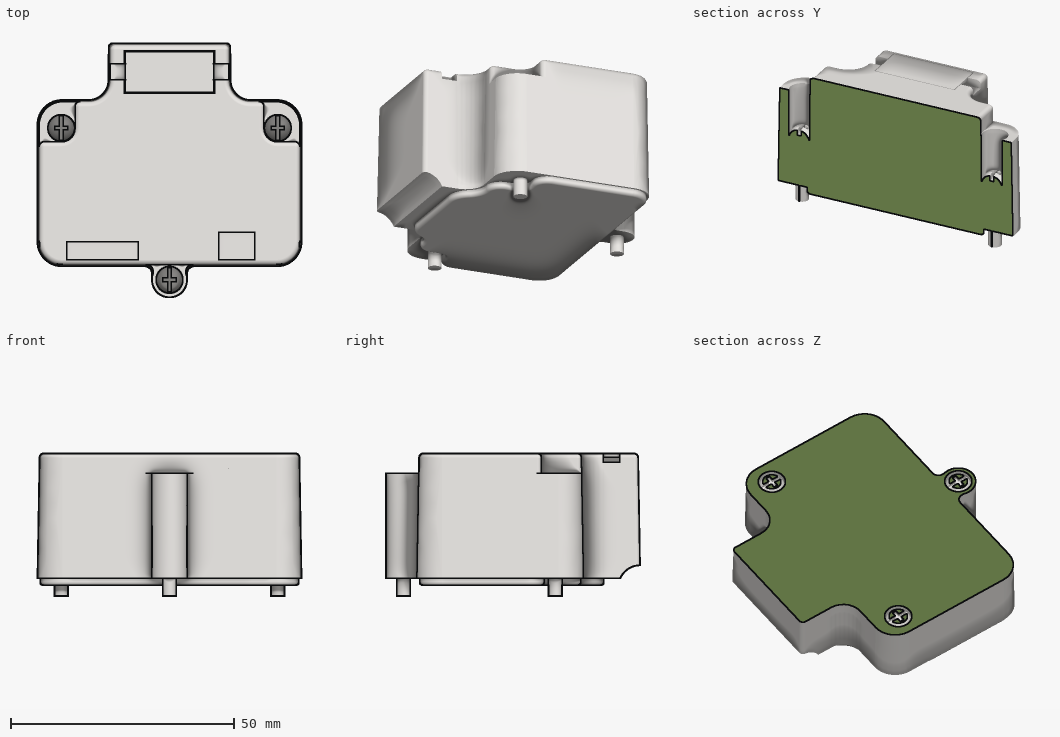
import cadquery as cq
import math

body_width = 59.2
body_depth = 37.3
body_height = 28.0
corner_radius = 5.6
wall_draft = 1.0
edge_round = 1.0

neck_half_width = 13.7
neck_rear_y = 31.4
neck_root_radius = 4.4
cable_cut_radius = 4.8
cable_cut_y = 31.3
cable_cut_top = 2.9

screw_x = 24.25
rear_screw_y = 12.35
front_screw_y = -21.65
screw_seat_z = 12.0
head_radius = 3.0
head_height = 2.4
shank_radius = 1.55
shank_tip_z = -4.0
cross_slot_width = 0.85
long_slot_length = 5.4
short_slot_length = 3.0
cross_slot_depth = 1.7

ledge_z = 23.6
notch_radius = 3.1
boss_radius = 3.95
boss_blend_radius = 1.55
boss_flank_draft = 0.7

lip_height = 1.55
lip_inset = 0.6
lip_round = 0.75
lip_notch_radius = 2.5
lip_corner_radius = 3.4
lip_neck_y = 23.25
lip_neck_turn = 30.0

window_half_width = 9.9
window_front_y = 20.3
window_rear_y = 29.45
window_thickness = 0.85
window_gap = 0.2
side_slot_front_y = 23.1
side_slot_rear_y = 26.75
side_slot_depth = 2.0
undercut_floor_length = 1.0
label_depth = 0.1
label_recesses = [(-23.05, -7.0, -13.1), (11.0, 19.1, -10.95)]

edge_reach = 0.3
steepness = 4

half_width = body_width / 2
half_depth = body_depth / 2
screw_points = [(-screw_x, rear_screw_y), (screw_x, rear_screw_y), (0, front_screw_y)]


def box(x0, x1, y0, y1, z0, z1):
    """Axis-aligned block between two opposite corners."""
    return cq.Workplane("XY").box(x1 - x0, y1 - y0, z1 - z0, centered=False).translate((x0, y0, z0))


def on_circle(center, radius, angle):
    """Point on a circle, angle in degrees."""
    turn = math.radians(angle)
    return (center[0] + radius * math.cos(turn), center[1] + radius * math.sin(turn))


def wall_inset(z):
    """How far the drafted walls have moved inwards at height z."""
    return z * math.tan(math.radians(wall_draft))


def near_vertical_edges(solid, points):
    """Steep edges whose middle lies within edge_reach of one of the given XY points."""
    edges = []
    for edge in solid.edges().vals():
        middle = edge.Center()
        run = edge.BoundingBox()
        steep = run.zlen > steepness * max(run.xlen, run.ylen)
        close = any(math.hypot(middle.x - x, middle.y - y) < edge_reach for x, y in points)
        if steep and close:
            edges.append(edge)
    return solid.newObject(edges)


def make_shell_block():
    """Tapered wide body and neck, one outline with rounded corners and neck roots."""
    corner_x = half_width - corner_radius
    corner_y = half_depth - corner_radius
    root_center = (neck_half_width + neck_root_radius, half_depth + neck_root_radius)
    root_x, root_y = root_center
    block = (
        cq.Workplane("XY")
        .moveTo(-corner_x, -half_depth)
        .lineTo(corner_x, -half_depth)
        .threePointArc(on_circle((corner_x, -corner_y), corner_radius, -45), (half_width, -corner_y))
        .lineTo(half_width, corner_y)
        .threePointArc(on_circle((corner_x, corner_y), corner_radius, 45), (corner_x, half_depth))
        .lineTo(root_x, half_depth)
        .threePointArc(on_circle(root_center, neck_root_radius, 225), (neck_half_width, root_y))
        .lineTo(neck_half_width, neck_rear_y)
        .lineTo(-neck_half_width, neck_rear_y)
        .lineTo(-neck_half_width, root_y)
        .threePointArc(on_circle((-root_x, root_y), neck_root_radius, -45), (-root_x, half_depth))
        .lineTo(-corner_x, half_depth)
        .threePointArc(on_circle((-corner_x, corner_y), corner_radius, 135), (-half_width, corner_y))
        .lineTo(-half_width, -corner_y)
        .threePointArc(on_circle((-corner_x, -corner_y), corner_radius, 225), (-corner_x, -half_depth))
        .close()
        .extrude(body_height, taper=wall_draft)
    )
    inset = wall_inset(body_height / 2)
    neck_corners = [(side * (neck_half_width - inset), neck_rear_y - inset) for side in (-1, 1)]
    return near_vertical_edges(block, neck_corners).fillet(edge_round)


def corner_clearance(side, radius, z0, z1):
    """Open corner pocket around a rear screw: a quarter-round inner corner, open to the outside."""
    outer = 2 * corner_radius
    pocket = box(-radius, outer, -radius, outer, z0, z1)
    pocket = near_vertical_edges(pocket, [(-radius, -radius)]).fillet(radius)
    pocket = pocket.translate((screw_x, rear_screw_y, 0))
    if side < 0:
        pocket = pocket.mirror("YZ")
    return pocket


def cut_corner_notches(solid):
    """Lower the rear corners to the screw ledge and round where the notch walls end."""
    mouths = []
    inset = wall_inset((ledge_z + body_height) / 2)
    for side in (-1, 1):
        solid = solid.cut(corner_clearance(side, notch_radius, ledge_z, body_height + 1))
        mouths.append((side * (screw_x - notch_radius), half_depth - inset))
        mouths.append((side * (half_width - inset), rear_screw_y - notch_radius))
    return near_vertical_edges(solid, mouths).fillet(edge_round)


def add_boss(solid):
    """Front screw boss, blended into the front wall."""
    boss = cq.Workplane("XY").center(0, front_screw_y).circle(boss_radius).extrude(ledge_z)
    flank_lean = ledge_z * math.tan(math.radians(boss_flank_draft))
    top_x = boss_radius - flank_lean
    web = (
        cq.Workplane("XZ", origin=(0, front_screw_y, 0))
        .polyline([(-boss_radius, 0), (boss_radius, 0), (top_x, ledge_z), (-top_x, ledge_z)])
        .close()
        .extrude(front_screw_y + half_depth - corner_radius)
    )
    solid = solid.union(boss.union(web))
    wall_y = -half_depth + wall_inset(ledge_z / 2)
    join_x = boss_radius - flank_lean / 2
    joins = [(-join_x, wall_y), (join_x, wall_y)]
    return near_vertical_edges(solid, joins).fillet(boss_blend_radius)


def make_lip():
    """Locating lip under the body, inset from the walls and notched around the rear screws."""
    side_x = half_width - lip_inset
    front_y = -half_depth + lip_inset
    rear_y = half_depth - lip_inset
    notch_x = screw_x - lip_notch_radius
    notch_y = rear_screw_y - lip_notch_radius
    hollow_radius = neck_root_radius + lip_inset
    hollow = (neck_half_width + neck_root_radius, half_depth + neck_root_radius)
    rise = math.sin(math.radians(lip_neck_turn))
    inflection = on_circle(hollow, hollow_radius, 180 + lip_neck_turn)
    crown_radius = (lip_neck_y - inflection[1]) / (1 - rise)
    crown = on_circle(hollow, hollow_radius + crown_radius, 180 + lip_neck_turn)
    half = (
        cq.Workplane("XY")
        .moveTo(0, front_y)
        .lineTo(side_x, front_y)
        .lineTo(side_x, notch_y)
        .lineTo(notch_x, notch_y)
        .lineTo(notch_x, rear_y)
        .lineTo(hollow[0], rear_y)
        .threePointArc(on_circle(hollow, hollow_radius, 225 + lip_neck_turn / 2), inflection)
        .threePointArc(on_circle(crown, crown_radius, (90 + lip_neck_turn) / 2), (crown[0], lip_neck_y))
        .lineTo(0, lip_neck_y)
        .close()
        .extrude(-lip_height)
    )
    half = near_vertical_edges(half, [(side_x, front_y)]).fillet(corner_radius - lip_inset)
    half = near_vertical_edges(half, [(notch_x, notch_y)]).fillet(lip_notch_radius)
    notch_ends = [(side_x, notch_y), (notch_x, rear_y)]
    half = near_vertical_edges(half, notch_ends).fillet(lip_corner_radius)
    lip = half.union(half.mirror("YZ"))
    return lip.faces("<Z").edges().fillet(lip_round)


def make_screw(x, y):
    """Domed screw with a cross recess; its shank ends below the body."""
    dome_radius = (head_radius ** 2 + head_height ** 2) / (2 * head_height)
    top = screw_seat_z + head_height
    head = cq.Workplane("XY").sphere(dome_radius).translate((0, 0, top - dome_radius))
    blank = cq.Workplane("XY", origin=(0, 0, screw_seat_z)).circle(head_radius).extrude(head_height)
    head = head.intersect(blank)
    shank = cq.Workplane("XY", origin=(0, 0, shank_tip_z)).circle(shank_radius)
    screw = head.union(shank.extrude(screw_seat_z - shank_tip_z))
    slot_floor = top - cross_slot_depth
    half_slot = cross_slot_width / 2
    half_long = long_slot_length / 2
    half_short = short_slot_length / 2
    screw = screw.cut(box(-half_slot, half_slot, -half_long, half_long, slot_floor, top))
    screw = screw.cut(box(-half_short, half_short, -half_slot, half_slot, slot_floor, top))
    return screw.translate((x, y, 0))


def add_screws(solid):
    """Bore the head wells and set the three screws in them."""
    for x, y in screw_points:
        well = cq.Workplane("XY", origin=(x, y, screw_seat_z)).circle(head_radius)
        solid = solid.cut(well.extrude(ledge_z - screw_seat_z))
        solid = solid.union(make_screw(x, y))
    return solid


def cut_window(solid):
    """Thin gap around the window panel and the finger slots that undercut its sides."""
    panel_z = body_height - window_thickness
    gap_x = window_half_width + window_gap
    gap = box(-gap_x, gap_x, window_front_y - window_gap, window_rear_y + window_gap, panel_z, body_height)
    panel = box(-window_half_width, window_half_width, window_front_y, window_rear_y, panel_z, body_height)
    solid = solid.cut(gap.cut(panel))
    slot_floor = body_height - side_slot_depth
    ramp_foot_x = gap_x - undercut_floor_length
    ramp_top_x = ramp_foot_x - (panel_z - slot_floor)
    for side in (-1, 1):
        inner, outer = sorted((side * gap_x, side * (neck_half_width + 1)))
        slot = box(inner, outer, side_slot_front_y, side_slot_rear_y, slot_floor, body_height)
        solid = solid.cut(slot)
        undercut = (
            cq.Workplane("XZ", origin=(0, side_slot_front_y, 0))
            .moveTo(side * gap_x, panel_z)
            .lineTo(side * gap_x, slot_floor)
            .lineTo(side * ramp_foot_x, slot_floor)
            .lineTo(side * ramp_top_x, panel_z)
            .close()
            .extrude(side_slot_front_y - side_slot_rear_y)
        )
        solid = solid.cut(undercut)
    return solid


def cut_labels(solid):
    """Shallow label recesses ending at the front rim rounding."""
    rim_y = -half_depth + wall_inset(body_height) + edge_round
    for left, right, rear in label_recesses:
        solid = solid.cut(box(left, right, rim_y, rear, body_height - label_depth, body_height))
    return solid


def cut_cable_groove(solid):
    """Round groove along X under the rear edge of the neck."""
    groove = cq.Workplane("YZ", origin=(-half_width, cable_cut_y, cable_cut_top - cable_cut_radius))
    return solid.cut(groove.circle(cable_cut_radius).extrude(body_width))


body = make_shell_block()
body = cut_corner_notches(body)
body = body.faces(">Z").edges().fillet(edge_round)
body = add_boss(body)
body = cut_cable_groove(body)
body = cut_window(body)
body = cut_labels(body)
body = body.union(make_lip())
result = add_screws(body)